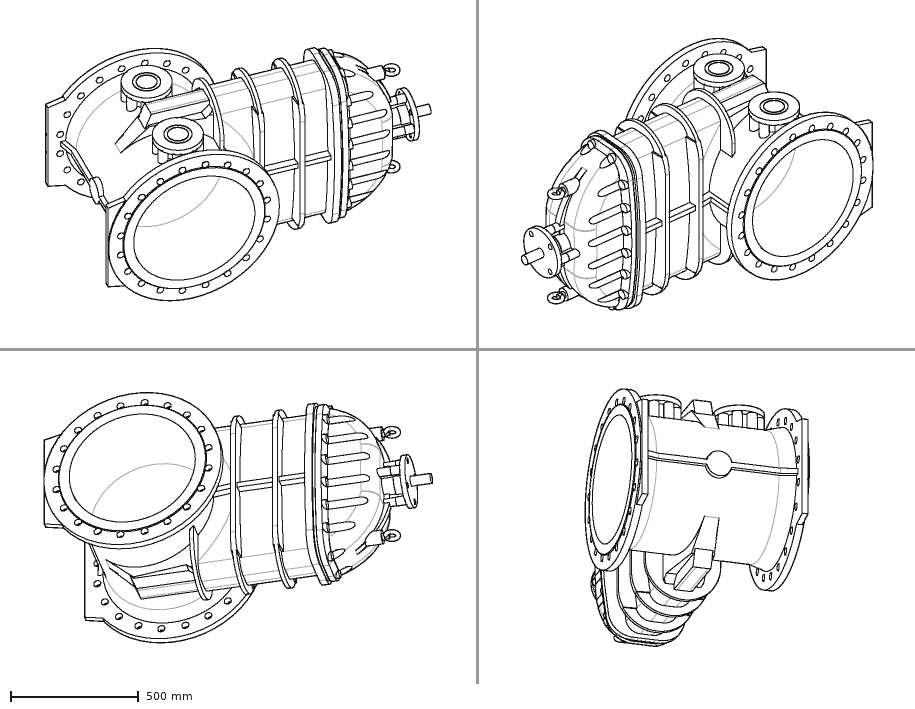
import cadquery as cq
import math


bore_d = 508.0
barrel_r = 265.0
face_to_face = 700.0
raised_face_d = 590.0
raised_face_base_d = 596.0
raised_face_h = 3.5
flange_d = 715.0
flange_thickness = 30.0
flange_outer_x = face_to_face / 2 - raised_face_h
flange_inner_x = flange_outer_x - flange_thickness
flare_start_x = 251.0
flare_end_r = 284.0
bolt_circle_d = 620.0
bolt_hole_d = 28.0
bolt_count = 20
foot_thickness = 24.0
foot_half_height = 200.0
foot_depth = 100.0
foot_draft = math.radians(13)
seam_rib_width = 22.0
seam_rib_h = 20.0
seam_boss_d = 104.0

pad_x = 171.0
pad_top_z = 340.0
pad_d = 200.0
pad_thickness = 23.0
pad_tube_d = 130.0
pad_pin_circle_d = 160.0
pad_pin_d = 40.0
pad_pin_count = 8
pad_groove_outer_d = 110.0
pad_groove_inner_d = 82.0
pad_groove_depth = 2.0

ring_ys = (191.0, 358.0, 527.0)
ring_half_widths = (155.0, 158.0, 158.0)
overall_height = 783.89
ring_half_height = overall_height / 2
ring_thickness = 16.0
ring_tip_thickness = 20.0
ring_root_thickness = 33.0

neck_half_width = 107.0
neck_half_height = 354.0
neck_corner_x = 84.0
neck_corner_z = 309.0
neck_flat_half_width = 25.0
taper_start_y = 350.0
side_rib_half_width = 140.0
side_rib_height = 22.0
wedge_end_y = -186.0
wedge_end_z = math.sqrt(barrel_r**2 - wedge_end_y**2)
wedge_rise = -wedge_end_y / wedge_end_z
wedge_end_half_width = 30.0
wedge_top_y = ring_ys[0] - ring_thickness / 2
wedge_top_z = 332.0
wedge_step_y = 150.0
wedge_step_z = 302.0
spine_half_width = 37.0
spine_end_y = -60.0
spine_foot_y = -87.0
spine_foot_z = wedge_end_z + wedge_rise * (spine_foot_y - wedge_end_y)

body_plate_y = 652.0
gasket_y = 681.0
bonnet_plate_y = 691.0
bevel_start_y = 716.0
dome_start_y = 734.0
plate_half_height = 372.0
plate_corner_z = 276.0
body_plate_half_width = 180.0
body_plate_corner_x = 157.0
body_plate_flat_x = 57.0
gasket_half_width = 167.0
gasket_corner_x = 145.0
gasket_half_height = 368.0
bonnet_plate_half_width = 170.0
bonnet_plate_corner_x = 147.0
bonnet_plate_flat_x = 38.0
bevel_angle = 59.0
bonnet_boss_d = 40.0
side_boss_zs = (53.0, 156.0, 258.0)
end_boss_x = 61.0
end_boss_z = 345.0

dome_half_width = 140.0
dome_corner_x = 105.0
dome_fillet = 62.0
dome_crown_fillet = 20.0
dome_end_y = 930.0
dome_base_half_height = 349.0
dome_end_half_height = 109.0
dome_mid_y = 850.0
dome_mid_z = 272.0
dome_rib_width = 28.0
dome_rib_top = (952.0, 105.0)
dome_rib_mid = (902.0, 218.0)
dome_rib_foot = (816.0, 303.0)

eye_z = 246.0
eye_boss_d = 55.0
eye_boss_root_y = 800.0
eye_boss_top_y = 921.5
eye_collar_d = 28.0
eye_collar_h = 10.0
eye_shank_d = 22.0
eye_shank_top_y = 949.0
eye_center_y = 959.0
eye_ring_r = 25.0
eye_tube_r = 9.0

mount_d = 210.0
mount_y = 1016.0
mount_top_y = 1037.0
mount_hole_d = 22.0
mount_hole_circle_d = 165.0
mount_split_y = 978.0
mount_root_y = 900.0
mount_tube_upper_d = 120.0
mount_tube_lower_d = 114.0
mount_hole_count = 4
post_count = 4
post_circle_d = 174.0
post_upper_d = 36.0
post_lower_d = 34.0
post_web_width = 16.0
stem_d = 40.0
overall_length = 1475.5
stem_end_y = overall_length - flange_d / 2


def y_plane(y):
    """Sketch plane facing +Y at height y; local coordinates are (-X, Z)."""
    return cq.Workplane(cq.Plane((0, y, 0), (-1, 0, 0), (0, 1, 0)))


def y_cylinder(diameter, y_low, y_high, x=0.0, z=0.0):
    return y_plane(y_low).center(-x, z).circle(diameter / 2).extrude(y_high - y_low)


def mirrored(solid, plane):
    return solid.union(solid.mirror(plane))


def barrel_half():
    """Barrel, flare, flange and raised face on the +X side, as one turned shape."""
    profile = [
        (0, 0),
        (0, barrel_r),
        (flare_start_x, barrel_r),
        (flange_inner_x, flare_end_r),
        (flange_inner_x, flange_d / 2),
        (flange_outer_x, flange_d / 2),
        (flange_outer_x, raised_face_base_d / 2),
        (face_to_face / 2, raised_face_d / 2),
        (face_to_face / 2, 0),
    ]
    return cq.Workplane("XY").polyline(profile).close().revolve(360, (0, 0, 0), (1, 0, 0))


def foot():
    """Flat standing foot on the -Y edge of the +X flange."""
    inner_half_height = foot_half_height + foot_depth * math.tan(foot_draft)
    low_y = -flange_d / 2
    outline = [
        (low_y, -foot_half_height),
        (low_y, foot_half_height),
        (low_y + foot_depth, inner_half_height),
        (low_y + foot_depth, -inner_half_height),
    ]
    face = cq.Workplane("YZ", origin=(flange_inner_x, 0, 0)).polyline(outline).close()
    return face.extrude(foot_thickness)


def seam_rib_half():
    """Rib that follows the barrel and flare along the Z = 0 seam, on the +X side."""
    tip_r = barrel_r + seam_rib_h
    flare_tip_r = flare_end_r + seam_rib_h
    outline = [
        (0, -tip_r),
        (flare_start_x, -tip_r),
        (flange_inner_x, -flare_tip_r),
        (flange_inner_x, flare_tip_r),
        (flare_start_x, tip_r),
        (0, tip_r),
    ]
    return cq.Workplane("XY").polyline(outline).close().extrude(seam_rib_width / 2, both=True)


def flange_holes():
    return (
        cq.Workplane("YZ", origin=(-face_to_face / 2, 0, 0))
        .polarArray(bolt_circle_d / 2, 180 / bolt_count, 360, bolt_count)
        .circle(bolt_hole_d / 2)
        .extrude(face_to_face)
        .cut(cq.Workplane("YZ").circle(flange_d / 2).extrude(flange_inner_x, both=True))
    )


def pad(x):
    """Round branch pad carried by a tube and a circle of pins."""
    under_z = pad_top_z - pad_thickness
    base = cq.Workplane("XY", origin=(x, 0, 0))
    plate = base.workplane(offset=under_z).circle(pad_d / 2).extrude(pad_thickness)
    tube = base.circle(pad_tube_d / 2).extrude(under_z)
    pins = (
        base.polarArray(pad_pin_circle_d / 2, 180 / pad_pin_count, 360, pad_pin_count)
        .circle(pad_pin_d / 2)
        .extrude(under_z)
    )
    groove = (
        base.workplane(offset=pad_top_z - pad_groove_depth)
        .circle(pad_groove_outer_d / 2)
        .circle(pad_groove_inner_d / 2)
        .extrude(pad_groove_depth)
    )
    return plate.union(tube).union(pins).cut(groove)


def bowed_outline(y, half_width, corner_x, corner_z, flat_x, half_height):
    """Closed outline at height y: bowed sides, round corners and flat ends."""
    rise = half_height - corner_z
    run = corner_x - flat_x
    corner_r = (run**2 + rise**2) / (2 * rise)
    turn = math.asin(run / corner_r) / 2
    mid_x = flat_x + corner_r * math.sin(turn)
    mid_z = half_height - corner_r * (1 - math.cos(turn))
    return (
        y_plane(y)
        .moveTo(-corner_x, -corner_z)
        .threePointArc((-half_width, 0), (-corner_x, corner_z))
        .threePointArc((-mid_x, mid_z), (-flat_x, half_height))
        .lineTo(flat_x, half_height)
        .threePointArc((mid_x, mid_z), (corner_x, corner_z))
        .threePointArc((half_width, 0), (corner_x, -corner_z))
        .threePointArc((mid_x, -mid_z), (flat_x, -half_height))
        .lineTo(-flat_x, -half_height)
        .threePointArc((-mid_x, -mid_z), (-corner_x, -corner_z))
        .close()
    )


def neck_prism():
    """Neck cross-section along its whole length."""
    outline = bowed_outline(
        wedge_end_y,
        neck_half_width,
        neck_corner_x,
        neck_corner_z,
        neck_flat_half_width,
        neck_half_height,
    )
    return outline.extrude(body_plate_y - wedge_end_y)


def tapered_plan(widening, z_half):
    """Neck seen along Z: parallel down to the taper, then a wedge; widened on both sides."""
    wide = neck_half_width + widening
    narrow = wedge_end_half_width + widening
    outline = [
        (-wide, body_plate_y),
        (-wide, taper_start_y),
        (-narrow, wedge_end_y),
        (narrow, wedge_end_y),
        (wide, taper_start_y),
        (wide, body_plate_y),
    ]
    return cq.Workplane("XY").polyline(outline).close().extrude(z_half, both=True)


def side_extrusion(upper_outline, half_width):
    """Outline of (Y, Z) points mirrored about Z = 0 and extruded across X."""
    lower_outline = [(y, -z) for y, z in reversed(upper_outline)]
    return cq.Workplane("YZ").polyline(upper_outline + lower_outline).close().extrude(half_width, both=True)


def neck():
    """Tapered neck, its lower wedge and the central spine running over the barrel."""
    wedge = side_extrusion(
        [
            (body_plate_y, plate_half_height),
            (wedge_top_y, plate_half_height),
            (wedge_top_y, wedge_top_z),
            (wedge_step_y, wedge_step_z),
            (wedge_end_y + (wedge_step_z - wedge_end_z) / wedge_rise, wedge_step_z),
            (wedge_end_y, wedge_end_z),
        ],
        neck_half_width,
    )
    spine = side_extrusion(
        [
            (wedge_top_y, neck_half_height),
            (spine_end_y, neck_half_height),
            (spine_foot_y, spine_foot_z),
        ],
        spine_half_width,
    )
    return neck_prism().intersect(wedge.union(spine)).intersect(tapered_plan(0, plate_half_height))


def ring(y, half_width, thickness):
    """Plate with semicircular ends."""
    outline = y_plane(y - thickness / 2).slot2D(2 * ring_half_height, 2 * half_width, 90)
    return outline.extrude(thickness)


def ring_collar(y, half_width):
    """Drafted thickening of a ring along the flat sides of the neck."""
    tip = ring_tip_thickness / 2
    root = ring_root_thickness / 2
    outline = [
        (-half_width, y - tip),
        (-neck_corner_x, y - root),
        (neck_corner_x, y - root),
        (half_width, y - tip),
        (half_width, y + tip),
        (neck_corner_x, y + root),
        (-neck_corner_x, y + root),
        (-half_width, y + tip),
    ]
    collar = cq.Workplane("XY").polyline(outline).close().extrude(neck_corner_z, both=True)
    return collar.intersect(ring(y, half_width, ring_root_thickness))


def bonnet_boss_centers():
    """(X, Z) of the bolt bosses; the side ones follow the bow of the bonnet plate."""
    bow = (bonnet_plate_half_width - bonnet_plate_corner_x) / plate_corner_z**2
    edge_x = bonnet_plate_half_width - bonnet_boss_d / 2
    quarter = [(edge_x - bow * z**2, z) for z in side_boss_zs] + [(end_boss_x, end_boss_z)]
    return [(sx * x, sz * z) for x, z in quarter for sx in (-1, 1) for sz in (-1, 1)]


def plate(y_low, y_high, half_width, corner_x, flat_x, half_height):
    """Flat plate of the bonnet flange."""
    outline = bowed_outline(y_low, half_width, corner_x, plate_corner_z, flat_x, half_height)
    return outline.extrude(y_high - y_low)


def bonnet_flange():
    body_plate = plate(
        body_plate_y,
        gasket_y,
        body_plate_half_width,
        body_plate_corner_x,
        body_plate_flat_x,
        plate_half_height,
    )
    gasket = plate(
        gasket_y,
        bonnet_plate_y,
        gasket_half_width,
        gasket_corner_x,
        bonnet_plate_flat_x,
        gasket_half_height,
    )
    bonnet_plate = plate(
        bonnet_plate_y,
        bevel_start_y,
        bonnet_plate_half_width,
        bonnet_plate_corner_x,
        bonnet_plate_flat_x,
        plate_half_height,
    )
    bevel = (
        bonnet_plate.faces(">Y")
        .wires()
        .toPending()
        .workplane(origin=(0, bevel_start_y, 0))
        .extrude(dome_start_y - bevel_start_y, taper=bevel_angle, combine=False)
    )
    return body_plate.union(gasket).union(bonnet_plate).union(bevel)


def dome():
    """Bonnet dome: bowed sides seen along Y, arched seen along X, long edges rounded."""
    arched = (
        cq.Workplane("YZ")
        .moveTo(dome_start_y, -dome_base_half_height)
        .threePointArc((dome_mid_y, -dome_mid_z), (dome_end_y, -dome_end_half_height))
        .lineTo(dome_end_y, dome_end_half_height)
        .threePointArc((dome_mid_y, dome_mid_z), (dome_start_y, dome_base_half_height))
        .close()
        .extrude(dome_half_width, both=True)
        .edges("|X and >Y")
        .fillet(dome_crown_fillet)
    )
    bowed = (
        y_plane(dome_start_y)
        .moveTo(-dome_corner_x, -dome_base_half_height)
        .threePointArc((-dome_half_width, 0), (-dome_corner_x, dome_base_half_height))
        .lineTo(dome_corner_x, dome_base_half_height)
        .threePointArc((dome_half_width, 0), (dome_corner_x, -dome_base_half_height))
        .close()
        .extrude(dome_end_y - dome_start_y)
    )
    blank = arched.intersect(bowed)
    return blank.faces("<X or >X").edges("not <Y").fillet(dome_fillet)


def dome_rib():
    """Low rib over the dome, from the +Z lifting eye to the actuator mount."""
    return (
        cq.Workplane("YZ")
        .moveTo(*dome_rib_top)
        .threePointArc(dome_rib_mid, dome_rib_foot)
        .lineTo(dome_start_y, 0)
        .lineTo(dome_rib_top[0], 0)
        .close()
        .extrude(dome_rib_width / 2, both=True)
    )


def lifting_eye():
    boss = y_cylinder(eye_boss_d, eye_boss_root_y, eye_boss_top_y, z=eye_z)
    collar_top_y = eye_boss_top_y + eye_collar_h
    collar = y_cylinder(eye_collar_d, eye_boss_top_y, collar_top_y, z=eye_z)
    shank = y_cylinder(eye_shank_d, collar_top_y, eye_shank_top_y, z=eye_z)
    loop = (
        cq.Workplane("XZ", origin=(0, eye_center_y, eye_z))
        .center(eye_ring_r, 0)
        .circle(eye_tube_r)
        .revolve(360, (-eye_ring_r, 0), (-eye_ring_r, 1))
    )
    return boss.union(collar).union(shank).union(loop)


def mount_stage(tube_d, post_d, y_low, y_high):
    """Central tube with posts round it, joined by webs."""
    stage = y_cylinder(tube_d, y_low, y_high)
    for index in range(post_count):
        angle = 2 * math.pi * index / post_count
        x = post_circle_d / 2 * math.cos(angle)
        z = post_circle_d / 2 * math.sin(angle)
        stage = stage.union(y_cylinder(post_d, y_low, y_high, x, z))
    arm = cq.Workplane("XY").box(post_circle_d, y_high - y_low, post_web_width)
    arm = arm.translate((0, (y_low + y_high) / 2, 0))
    return stage.union(arm).union(arm.rotate((0, 0, 0), (0, 1, 0), 90))


def actuator_mount():
    disc = y_cylinder(mount_d, mount_y, mount_top_y)
    holes = (
        y_plane(mount_y)
        .polarArray(mount_hole_circle_d / 2, 180 / mount_hole_count, 360, mount_hole_count)
        .circle(mount_hole_d / 2)
        .extrude(mount_top_y - mount_y)
    )
    lower = mount_stage(mount_tube_lower_d, post_lower_d, mount_root_y, mount_split_y)
    upper = mount_stage(mount_tube_upper_d, post_upper_d, mount_split_y, mount_y)
    stem = y_cylinder(stem_d, mount_root_y, stem_end_y)
    return disc.cut(holes).union(lower).union(upper).union(stem)


def bonnet():
    """Dome and flange with bolt bosses; each bolt has a clearance groove up the dome."""
    solid = dome()
    for x, z in bonnet_boss_centers():
        solid = solid.cut(y_cylinder(bonnet_boss_d, dome_start_y, dome_end_y, x, z))
    solid = solid.union(bonnet_flange())
    for x, z in bonnet_boss_centers():
        solid = solid.union(y_cylinder(bonnet_boss_d, bevel_start_y, dome_start_y, x, z))
    return solid.union(mirrored(dome_rib(), "XY")).union(mirrored(lifting_eye(), "XY"))


def body():
    """Barrel, flanges, neck, rings, ribs and pads."""
    half = barrel_half().union(foot()).union(seam_rib_half()).union(pad(pad_x))
    solid = mirrored(half, "YZ").union(neck())
    side_rib = tapered_plan(side_rib_half_width - neck_half_width, side_rib_height / 2)
    solid = solid.union(side_rib)
    solid = solid.union(y_cylinder(seam_boss_d, -barrel_r - seam_rib_h, 0))
    for y, half_width in zip(ring_ys, ring_half_widths):
        solid = solid.union(ring(y, half_width, ring_thickness))
    for y, half_width in zip(ring_ys[1:], ring_half_widths[1:]):
        solid = solid.union(ring_collar(y, half_width))
    bore = cq.Workplane("YZ").circle(bore_d / 2).extrude(face_to_face, both=True)
    return solid.cut(bore).cut(flange_holes())


result = body().union(bonnet()).union(actuator_mount())